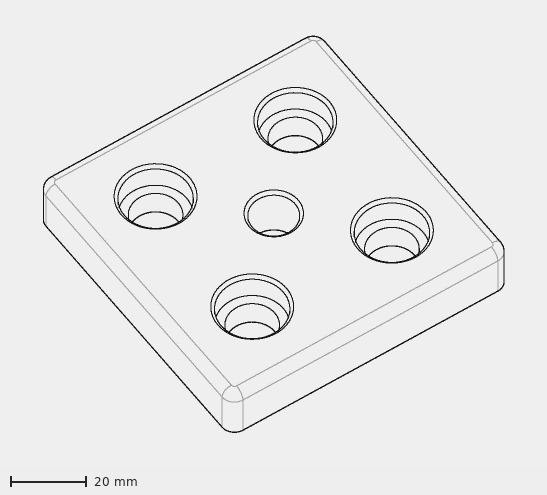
import cadquery as cq

side = 90.0
thickness = 16.0
corner_radius = 4.0
top_edge_radius = 3.0

bolt_spacing = side / 2
bolt_diameter = 14.5
counterbore_diameter = 20.0
counterbore_depth = 8.0
counterbore_chamfer = 1.0

centre_diameter = 13.8
centre_chamfer = 1.0


def make_plate():
    """Square plate with rounded corners and a rounded top rim, bottom face on Z = 0."""
    plate = cq.Workplane("XY").box(side, side, thickness, centered=(True, True, False))
    plate = plate.edges("|Z").fillet(corner_radius)
    return plate.faces(">Z").edges().fillet(top_edge_radius)


def cylinder_from_top(diameter, depth):
    """Vertical cylinder reaching from the top face down to the given depth."""
    return cq.Workplane("XY").workplane(offset=thickness - depth).circle(diameter / 2).extrude(depth)


def chamfer_cone(diameter, chamfer):
    """45 degree cone that widens a hole of the given diameter at the top face."""
    cone = cq.Solid.makeCone(
        diameter / 2,
        diameter / 2 + chamfer,
        chamfer,
        pnt=cq.Vector(0, 0, thickness - chamfer),
    )
    return cq.Workplane(cone)


def make_bolt_hole():
    """Through hole with a chamfered counterbore."""
    hole = cylinder_from_top(bolt_diameter, thickness)
    hole = hole.union(cylinder_from_top(counterbore_diameter, counterbore_depth))
    return hole.union(chamfer_cone(counterbore_diameter, counterbore_chamfer))


def make_centre_hole():
    """Plain through hole with a chamfered mouth."""
    hole = cylinder_from_top(centre_diameter, thickness)
    return hole.union(chamfer_cone(centre_diameter, centre_chamfer))


result = make_plate().cut(make_centre_hole())
bolt_hole = make_bolt_hole()
for x in (-bolt_spacing / 2, bolt_spacing / 2):
    for y in (-bolt_spacing / 2, bolt_spacing / 2):
        result = result.cut(bolt_hole.translate((x, y, 0)))